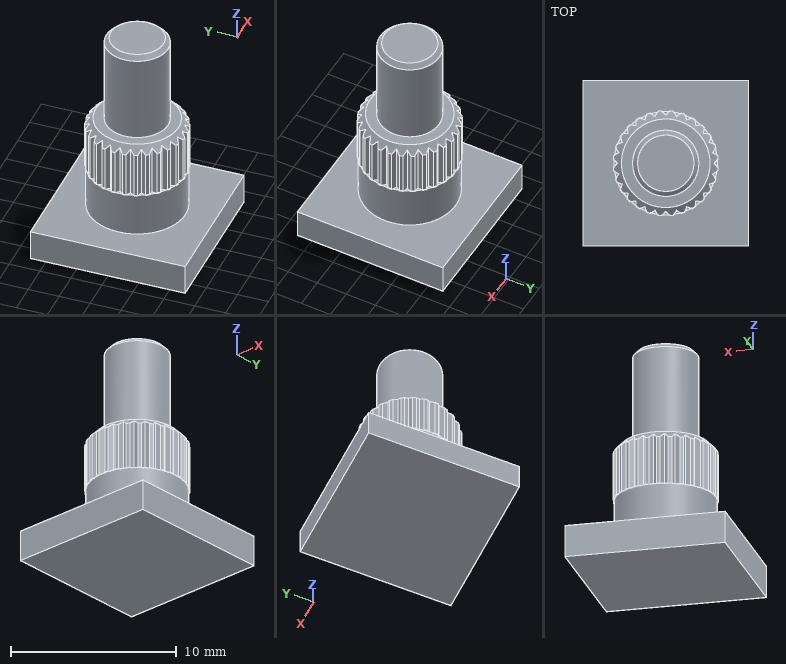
import cadquery as cq
import math

base_side = 10.0
base_thickness = 2.0

shoulder_radius = 3.125
shoulder_height = 2.9

collar_radius = 3.175
collar_height = 3.5
collar_chamfer = 0.5

groove_count = 28
groove_depth = 0.265
groove_width = 0.48

stud_radius = 2.0
stud_height = 6.0
stud_chamfer = 0.3

shoulder_bottom = base_thickness
collar_bottom = shoulder_bottom + shoulder_height
stud_bottom = collar_bottom + collar_height


def cylinder(radius, bottom, height):
    """Upright cylinder on the Z axis."""
    return cq.Workplane("XY").workplane(offset=bottom).circle(radius).extrude(height)


def make_base():
    """Square plate centred on the Z axis."""
    return cq.Workplane("XY").box(base_side, base_side, base_thickness, centered=(True, True, False))


def polar_point(radius, angle):
    """X and Y of a point given by its radius and its angle in radians."""
    return (radius * math.cos(angle), radius * math.sin(angle))


def make_knurl_blank():
    """Straight-grooved prism: arc crests separated by V-grooves, one of them on the +X axis."""
    pitch_angle = 2 * math.pi / groove_count
    half_groove_angle = math.asin(groove_width / 2 / collar_radius)
    root_radius = collar_radius - groove_depth

    outline = cq.Workplane("XY").workplane(offset=collar_bottom).moveTo(root_radius, 0)
    for index in range(groove_count):
        root_angle = index * pitch_angle
        next_root_angle = root_angle + pitch_angle
        crest_start = polar_point(collar_radius, root_angle + half_groove_angle)
        crest_middle = polar_point(collar_radius, root_angle + pitch_angle / 2)
        crest_end = polar_point(collar_radius, next_root_angle - half_groove_angle)
        outline = outline.lineTo(*crest_start).threePointArc(crest_middle, crest_end)
        if index < groove_count - 1:
            outline = outline.lineTo(*polar_point(root_radius, next_root_angle))
    return outline.close().extrude(collar_height)


def make_collar():
    """Knurled collar with its top rim bevelled across crests and grooves."""
    envelope = cylinder(collar_radius, collar_bottom, collar_height)
    envelope = envelope.faces(">Z").chamfer(collar_chamfer)
    return make_knurl_blank().intersect(envelope)


def make_stud():
    """Plain stud with a chamfered tip."""
    return cylinder(stud_radius, stud_bottom, stud_height).faces(">Z").chamfer(stud_chamfer)


shoulder = cylinder(shoulder_radius, shoulder_bottom, shoulder_height)
result = make_base().union(shoulder).union(make_collar()).union(make_stud())